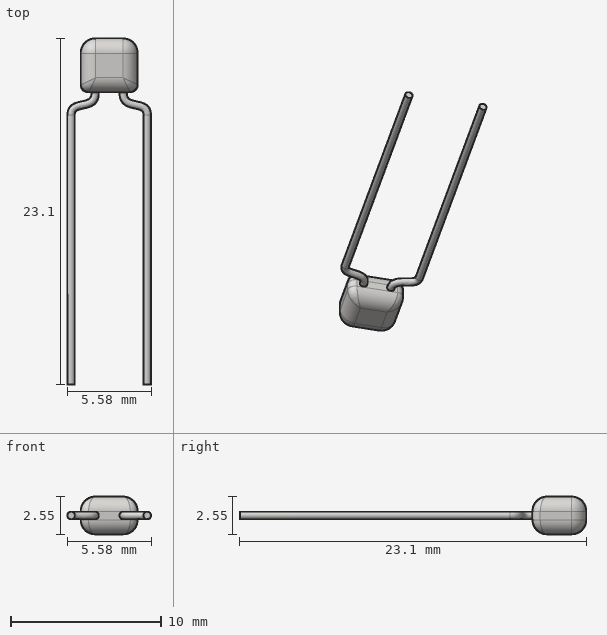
import cadquery as cq

TOTAL_LENGTH = 23.08
BODY_WIDTH = 3.8
BODY_LENGTH = 3.6
BODY_THICKNESS = 2.55

MAIN_FILLET = 1.0
LEAD_SIDE_FILLET = 0.5

WIRE_DIAMETER = 0.5
LEAD_PITCH = 5.08
EXIT_PITCH = 1.87
STUB_LENGTH = 0.07
BEND_LENGTH = 1.43
BEND_START_HANDLE = 1.15
BEND_END_HANDLE = 1.02

BACK_Y = TOTAL_LENGTH / 2
TIP_Y = -TOTAL_LENGTH / 2
LEAD_SIDE_Y = BACK_Y - BODY_LENGTH
BEND_START_Y = LEAD_SIDE_Y - STUB_LENGTH
BEND_END_Y = BEND_START_Y - BEND_LENGTH


def make_body():
    """Pillow-shaped body: fully rounded, with tighter corners on the lead side."""
    block = cq.Workplane("XY").box(BODY_WIDTH, BODY_LENGTH, BODY_THICKNESS)
    block = block.translate((0, BACK_Y - BODY_LENGTH / 2, 0))
    back_corners = block.edges("|Z and >Y").fillet(MAIN_FILLET)
    rounded = back_corners.faces("<Z or >Z").edges().fillet(MAIN_FILLET)
    return rounded.edges("|Z and <Y").fillet(LEAD_SIDE_FILLET).solids()


def make_lead(side):
    """Round wire: an S-bend out of the body, then a straight leg. side is -1 or 1."""
    exit_x = side * EXIT_PITCH / 2
    leg_x = side * LEAD_PITCH / 2
    path = (
        cq.Workplane("XY")
        .moveTo(exit_x, LEAD_SIDE_Y)
        .lineTo(exit_x, BEND_START_Y)
        .bezier([
            (exit_x, BEND_START_Y),
            (exit_x, BEND_START_Y - BEND_START_HANDLE),
            (leg_x, BEND_END_Y + BEND_END_HANDLE),
            (leg_x, BEND_END_Y),
        ])
        .lineTo(leg_x, TIP_Y)
    )
    start = cq.Workplane("XZ", origin=(exit_x, LEAD_SIDE_Y, 0))
    return start.circle(WIRE_DIAMETER / 2).sweep(path)


body = make_body()
leads = [make_lead(side) for side in (-1, 1)]

result = cq.Compound.makeCompound([body.val(), *[lead.val() for lead in leads]])